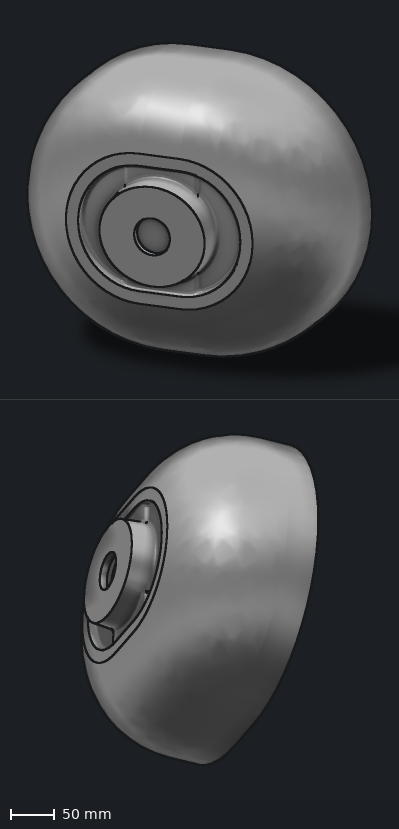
import cadquery as cq
import math


CORE = 50.0
WIDTH = 400
HEIGHT = WIDTH - CORE
FACE_HEIGHT = 180
BAND_DEPTH = 38.0
HOUSING_DEPTH = 150.0
RIM_RADIUS = HEIGHT / 2
FACE_RADIUS = FACE_HEIGHT / 2

OPENING_HEIGHT = 150.0
PAD_DEPTH = 4.8
STEP = 4.0
PAD_HALF_WIDTH = 42.5
SIDE_SLOPE = 3
DRAFT = 5
FLOOR_FILLET = 4.5

BOSS_HEIGHT = 21.0
BOSS_HALF_X = 64.8
BOSS_HALF_Z = 59.5
HOLE_DIAMETER = 44
HOLE_DEPTH = 8.8
FLARE = 9.5

OVERALL_DEPTH = HOUSING_DEPTH + BOSS_HEIGHT
SIDE_DEPTH = PAD_DEPTH + STEP
HOLE_RADIUS = HOLE_DIAMETER / 2
PLUG_RADIUS = HOLE_RADIUS + FLARE
PLUG_LENGTH = OVERALL_DEPTH - HOLE_DEPTH - FLARE
TOLERANCE = 0.05


def revolve_about_y(profile):
    return profile.close().revolve(360, (0, 0, 0), (0, 1, 0))


def make_dome():
    """Oblong body: a half-section swept straight across the core and turned at both ends."""
    inset = RIM_RADIUS - FACE_RADIUS
    rise = HOUSING_DEPTH - BAND_DEPTH
    arc_radius = (inset**2 + rise**2) / (2 * inset)
    half_angle = math.asin(rise / arc_radius) / 2
    mid_radius = RIM_RADIUS - arc_radius * (1 - math.cos(half_angle))
    mid_y = -BAND_DEPTH - arc_radius * math.sin(half_angle)

    def half_section(plane):
        return (
            cq.Workplane(plane)
            .lineTo(RIM_RADIUS, 0)
            .lineTo(RIM_RADIUS, -BAND_DEPTH)
            .threePointArc((mid_radius, mid_y), (FACE_RADIUS, -HOUSING_DEPTH))
            .lineTo(0, -HOUSING_DEPTH)
        )

    end = revolve_about_y(half_section("XY"))
    upward = cq.Plane(origin=(CORE / 2, 0, 0), xDir=(0, 0, 1), normal=(-1, 0, 0))
    upper = half_section(upward).close().extrude(CORE)
    middle = upper.union(upper.mirror("XY"))
    for side in (-1, 1):
        middle = middle.union(end.translate((side * CORE / 2, 0, 0)))
    return middle.clean()


def make_boss():
    """Drafted elliptical boss whose root is buried below the pocket floor."""
    length = BOSS_HEIGHT + 2 * SIDE_DEPTH
    return (
        cq.Workplane("XZ", origin=(0, -OVERALL_DEPTH, 0))
        .ellipse(BOSS_HALF_X, BOSS_HALF_Z)
        .extrude(-length, taper=-DRAFT)
    )


def make_side_floor():
    """Solid below the two side floors: a shallow cone, falling away from the boss."""
    fall = math.tan(math.radians(SIDE_SLOPE))
    apex_y = SIDE_DEPTH - HOUSING_DEPTH - fall * BOSS_HALF_X
    edge_y = apex_y + fall * RIM_RADIUS
    return revolve_about_y(
        cq.Workplane("XY").lineTo(0, apex_y).lineTo(RIM_RADIUS, edge_y).lineTo(RIM_RADIUS, 0)
    )


def make_pad():
    """Solid below the raised middle of the pocket floor, with 45 degree flanks."""
    pad_y = PAD_DEPTH - HOUSING_DEPTH
    root_half_width = PAD_HALF_WIDTH - pad_y
    return (
        cq.Workplane("XY")
        .moveTo(-PAD_HALF_WIDTH, pad_y)
        .lineTo(PAD_HALF_WIDTH, pad_y)
        .lineTo(root_half_width, 0)
        .lineTo(-root_half_width, 0)
        .close()
        .extrude(RIM_RADIUS, both=True)
    )


def make_front_void():
    """Space around the boss, in the pocket and ahead of the front face, with the floor edges rounded."""
    face = cq.Workplane("XZ", origin=(0, -HOUSING_DEPTH, 0))
    pocket = face.slot2D(CORE + OPENING_HEIGHT, OPENING_HEIGHT).extrude(-2 * SIDE_DEPTH, taper=DRAFT)
    ahead = face.rect(WIDTH, HEIGHT).extrude(BOSS_HEIGHT)
    void = pocket.cut(make_side_floor()).cut(make_pad()).union(ahead).cut(make_boss())
    below_face = TOLERANCE - HOUSING_DEPTH
    floor_edges = [edge for edge in void.edges().vals() if edge.BoundingBox().ymin > below_face]
    return void.newObject(floor_edges).fillet(FLOOR_FILLET)


def make_plug():
    """Round bar from the back of the housing, ending flat at the flared inner end of the hole."""
    return cq.Workplane("XZ").circle(PLUG_RADIUS).extrude(PLUG_LENGTH)


def make_hole():
    """Plug seat, the 45 degree flare in front of it and the narrower hole through the boss."""
    return revolve_about_y(
        cq.Workplane("XY")
        .lineTo(PLUG_RADIUS, 0)
        .lineTo(PLUG_RADIUS, -PLUG_LENGTH)
        .lineTo(HOLE_RADIUS, -PLUG_LENGTH - FLARE)
        .lineTo(HOLE_RADIUS, -OVERALL_DEPTH)
        .lineTo(0, -OVERALL_DEPTH)
    )


def make_housing():
    boss_blank = (
        cq.Workplane("XZ", origin=(0, -HOUSING_DEPTH, 0))
        .slot2D(CORE + OPENING_HEIGHT, OPENING_HEIGHT)
        .extrude(BOSS_HEIGHT)
    )
    return make_dome().union(boss_blank).cut(make_front_void()).cut(make_hole())


housing = make_housing()
plug = make_plug()
result = cq.Compound.makeCompound([housing.val(), plug.val()])